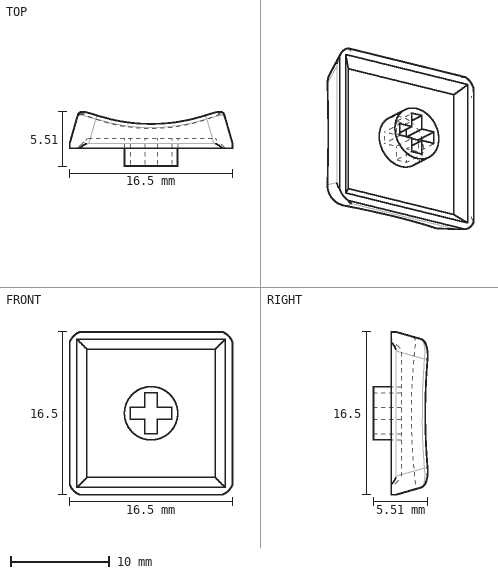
import cadquery as cq
import math

WIDTH = 16.5
SKIRT_HEIGHT = 0.5
DRAFT_ANGLE = 16.0
CORNER_RADIUS = 2.0
BLANK_HEIGHT = 4.95

DISH_BOTTOM = 2.01
DISH_RADIUS_ACROSS = 17.16
DISH_RADIUS_ALONG = 59.4
DISH_HALF_WIDTH = 9.9
DISH_HALF_ANGLE = 10.0
TOP_FILLET = 0.5

POCKET_WIDTH = 15.0
POCKET_DEPTH = 1.0
POCKET_DRAFT = 45.0

STEM_DIAMETER = 5.4
STEM_LENGTH = 1.8
CROSS_SPAN = 4.17
CROSS_ARM = 1.24
CROSS_DEPTH = STEM_LENGTH + POCKET_DEPTH


def plane_at(y):
    """Work plane at height y whose normal points to +Y."""
    return cq.Workplane("XZ", origin=(0, y, 0)).transformed(rotate=(180, 0, 0))


def make_dish():
    """Arc across the cap, swept around a distant axis parallel to X."""
    arc_rise = DISH_RADIUS_ACROSS - math.sqrt(DISH_RADIUS_ACROSS**2 - DISH_HALF_WIDTH**2)
    edge_height = DISH_BOTTOM + arc_rise
    axis_height = DISH_BOTTOM + DISH_RADIUS_ALONG
    return (
        cq.Workplane("XY")
        .moveTo(-DISH_HALF_WIDTH, edge_height)
        .threePointArc((0, DISH_BOTTOM), (DISH_HALF_WIDTH, edge_height))
        .close()
        .revolve(2 * DISH_HALF_ANGLE, (0, axis_height, 0), (1, axis_height, 0))
        .rotate((0, axis_height, 0), (1, axis_height, 0), -DISH_HALF_ANGLE)
    )


def make_shell():
    """Drafted block with rounded corners, trimmed to a straight skirt and dished."""
    drafted_width = WIDTH + 2 * SKIRT_HEIGHT * math.tan(math.radians(DRAFT_ANGLE))
    drafted = (
        plane_at(0)
        .rect(drafted_width, drafted_width)
        .extrude(BLANK_HEIGHT, taper=DRAFT_ANGLE)
        .edges("not(#Y)")
        .fillet(CORNER_RADIUS)
    )
    envelope = plane_at(0).rect(WIDTH, WIDTH).extrude(BLANK_HEIGHT)
    dished = drafted.cut(make_dish())
    rounded = dished.faces(">Y").edges().fillet(TOP_FILLET)
    return rounded.intersect(envelope)


def make_pocket():
    return plane_at(0).rect(POCKET_WIDTH, POCKET_WIDTH).extrude(POCKET_DEPTH, taper=POCKET_DRAFT)


def make_stem():
    """Round post rising from the pocket floor, with a cross-shaped socket."""
    end = plane_at(-STEM_LENGTH)
    post = end.circle(STEM_DIAMETER / 2).extrude(STEM_LENGTH + POCKET_DEPTH)
    for size_x, size_z in ((CROSS_SPAN, CROSS_ARM), (CROSS_ARM, CROSS_SPAN)):
        post = post.cut(end.rect(size_x, size_z).extrude(CROSS_DEPTH))
    return post


result = make_shell().cut(make_pocket()).union(make_stem())